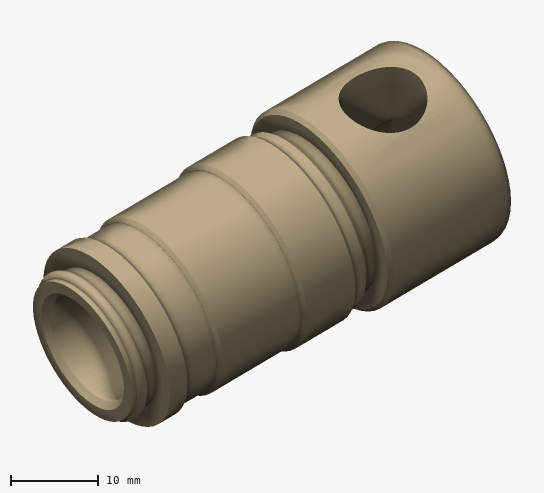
import cadquery as cq

length = 53.0
head_end = 18.45
neck_end = 20.3
collar_start = 22.25
collar_end = 30.25
body_end = 42.25
flange_start = 46.45
flange_end = 49.45
bead_station = 51.6

head_diameter = 26.0
head_radius = head_diameter / 2
neck_radius = 10.5
body_radius = 11.5
collar_radius = 12.05
groove_radius = 10.95
spigot_radius = 9.0
bead_tube_radius = 0.75
bead_radius = 9.65

rear_fillet = 1.5
edge_chamfer = 0.5

bore_diameter = 13.55
bore_depth = length - head_end
mouth_diameter = 15.0
mouth_chamfer = (mouth_diameter - bore_diameter) / 2
passage_diameter = 10.1
port_station = 9.0
passage_end = 3.7


def cylinder(start, end, radius):
    """Solid cylinder on the part axis between two stations; the mouth faces -Y."""
    return cq.Workplane("XZ", origin=(0, -start, 0)).circle(radius).extrude(end - start)


def make_head():
    head = cylinder(0, head_end, head_radius)
    head = head.faces(">Y").edges().fillet(rear_fillet)
    return head.faces("<Y").chamfer(edge_chamfer)


def make_barrel():
    neck = cylinder(head_end, neck_end, neck_radius)
    body = cylinder(neck_end, body_end, body_radius).faces(">Y or <Y").chamfer(edge_chamfer)
    collar = cylinder(collar_start, collar_end, collar_radius).faces(">Y or <Y").chamfer(edge_chamfer)
    groove = cylinder(body_end, flange_start, groove_radius)
    flange = cylinder(flange_start, flange_end, body_radius).faces(">Y").chamfer(edge_chamfer)
    spigot = cylinder(flange_end, length, spigot_radius)
    return neck.union(body).union(collar).union(groove).union(flange).union(spigot)


def make_bead():
    """Rounded ring around the spigot."""
    ring_radius = bead_radius - bead_tube_radius
    return (
        cq.Workplane("XY")
        .center(ring_radius, -bead_station)
        .circle(bead_tube_radius)
        .revolve(360, (-ring_radius, 0), (-ring_radius, 1))
    )


def make_passage():
    """Stepped bore from the mouth, turning up into the port in the top of the head."""
    bore = cylinder(length - bore_depth, length, bore_diameter / 2)
    narrow_bore = cylinder(passage_end, length, passage_diameter / 2)
    port = (
        cq.Workplane("XY", origin=(0, -port_station, 0))
        .circle(passage_diameter / 2)
        .extrude(head_radius)
    )
    return bore.union(narrow_bore).union(port)


def make_mouth_countersink():
    return (
        cq.Workplane("XZ", origin=(0, -length, 0))
        .circle(mouth_diameter / 2)
        .workplane(offset=-mouth_chamfer)
        .circle(bore_diameter / 2)
        .loft(ruled=True)
    )


result = make_head().union(make_barrel()).union(make_bead())
result = result.cut(make_passage()).cut(make_mouth_countersink())